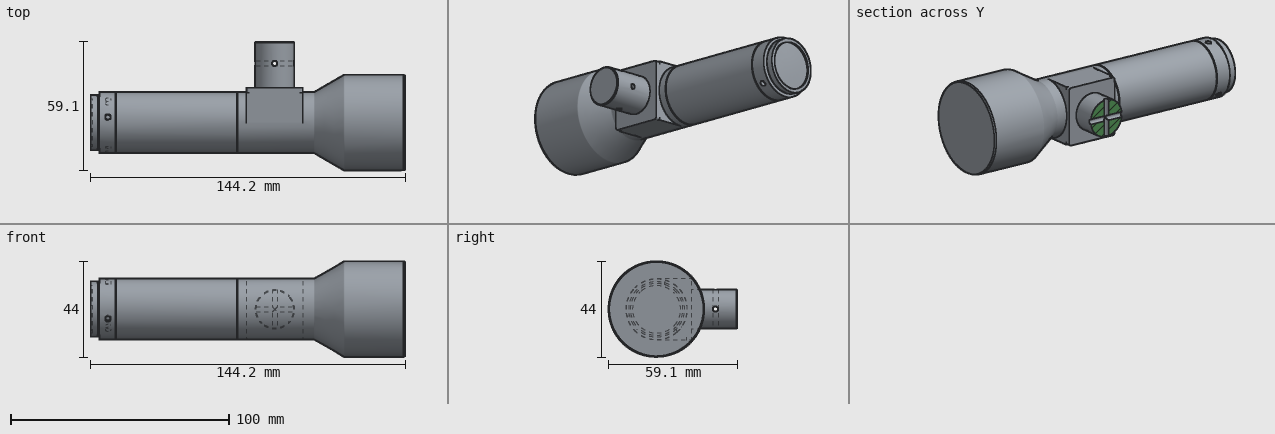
import cadquery as cq
import math

total_length = 144.2
total_width = 59.1
barrel_radius = 28.1 / 2

flange_radius = 25.5 / 2
flange_length = 3.2
neck_radius = 12.0
neck_end = 4.0

joint_positions = (11.5, 67.2)
joint_width = 0.5
joint_depth = 0.1

cone_start = 102.5
head_start = 116.2
head_radius = 44.0 / 2
flare_blend_radius = 0.9
rim_chamfer_length = 0.9
rim_chamfer_depth = 0.5

window_radius = 11.0
window_recess = 0.7
window_dome = 0.6

collar_hole_x = 8.0
collar_hole_radius = 1.3
collar_hole_depth = 2.2
collar_hole_count = 3
collar_hole_first_angle = 79.0

branch_x = 84.3
block_length = 26.0
block_top = 16.0
block_square_top = 13.7
block_corner_radius = 1.2
branch_radius = 18.0 / 2
branch_top = total_width - head_radius
branch_chamfer = 0.5
cross_hole_y = 27.1
cross_hole_radius = 1.2


def make_barrel():
    profile = (
        cq.Workplane("XY")
        .moveTo(0, 0)
        .lineTo(0, flange_radius)
        .lineTo(flange_length, flange_radius)
        .lineTo(flange_length, neck_radius)
        .lineTo(neck_end, neck_radius)
        .lineTo(neck_end, barrel_radius)
    )
    for joint in joint_positions:
        profile = (
            profile.lineTo(joint - joint_width / 2, barrel_radius)
            .lineTo(joint, barrel_radius - joint_depth)
            .lineTo(joint + joint_width / 2, barrel_radius)
        )
    barrel = (
        profile.lineTo(cone_start, barrel_radius)
        .lineTo(head_start, head_radius)
        .lineTo(total_length - rim_chamfer_length, head_radius)
        .lineTo(total_length, head_radius - rim_chamfer_depth)
        .lineTo(total_length, 0)
        .close()
        .revolve(360, (0, 0, 0), (1, 0, 0))
    )
    cone_ends = (
        barrel.faces("%CONE")
        .faces(cq.selectors.BoxSelector(
            (cone_start, -head_radius, -head_radius),
            (head_start, head_radius, head_radius),
        ))
        .edges("%CIRCLE")
    )
    return cone_ends.fillet(flare_blend_radius)


def make_window_recess():
    dome_sphere_radius = (window_radius**2 + window_dome**2) / (2 * window_dome)
    return (
        cq.Workplane("XY")
        .moveTo(0, 0)
        .lineTo(0, window_radius)
        .lineTo(window_recess, window_radius)
        .radiusArc((window_recess - window_dome, 0), -dome_sphere_radius)
        .close()
        .revolve(360, (0, 0, 0), (1, 0, 0))
    )


def make_collar_holes():
    holes = []
    for index in range(collar_hole_count):
        angle = math.radians(collar_hole_first_angle + index * 360 / collar_hole_count)
        outward = cq.Vector(0, math.cos(angle), math.sin(angle))
        bottom = cq.Vector(collar_hole_x, 0, 0) + outward * (barrel_radius - collar_hole_depth)
        hole = cq.Solid.makeCylinder(collar_hole_radius, 2 * collar_hole_depth, bottom, outward)
        holes.append(hole)
    return holes


def make_block():
    width = 2 * barrel_radius
    square_part = (
        cq.Workplane("XZ").center(branch_x, 0).rect(block_length, width).extrude(-block_square_top)
    )
    rounded_cap = (
        cq.Workplane("XZ", origin=(0, block_square_top, 0))
        .center(branch_x, 0)
        .rect(block_length, width)
        .extrude(block_square_top - block_top)
        .edges("|Y")
        .fillet(block_corner_radius)
    )
    return square_part.union(rounded_cap)


def make_branch():
    return (
        cq.Workplane("XZ")
        .center(branch_x, 0)
        .circle(branch_radius)
        .extrude(-branch_top)
        .faces(">Y")
        .chamfer(branch_chamfer)
    )


def make_cross_holes():
    reach = 2 * branch_radius
    centre = (branch_x, cross_hole_y, 0)
    along_z = cq.Workplane("XY", origin=centre).circle(cross_hole_radius).extrude(reach, both=True)
    along_x = cq.Workplane("YZ", origin=centre).circle(cross_hole_radius).extrude(reach, both=True)
    return along_z.union(along_x)


result = make_barrel().union(make_block()).union(make_branch())
result = result.cut(make_window_recess()).cut(make_cross_holes())
for hole in make_collar_holes():
    result = result.cut(hole)